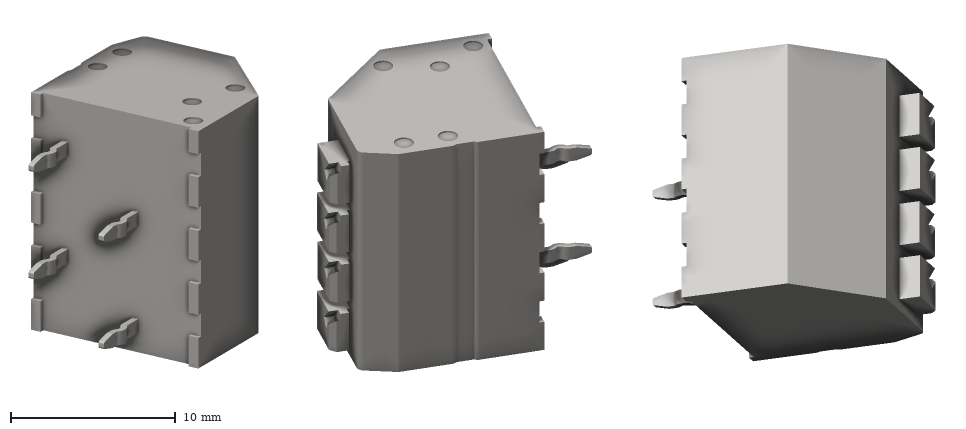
import cadquery as cq
import math

MODULE_COUNT = 4
PITCH = 3.5
COVER_HEIGHT = 1.5

WIDTH = 12.0
BACK_Y = 11.52
SLOPE_DROP = 2.31
SLOPE_RUN = 0.89
SLOPE_RADIUS = 0.5
WIRE_CHAMFER = 4.62

FOOT_WIDTH = 0.7
FOOT_LENGTH = 0.31
FOOT_HEIGHT = PITCH - COVER_HEIGHT

GROOVE_Y = 4.97
GROOVE_MOUTH = 1.52
GROOVE_FLOOR = 1.09
GROOVE_DEPTH = 0.124
GROOVE_RADIUS = 0.36

DIMPLE_DIAMETER = 1.2
DIMPLE_DEPTH = 0.1
DIMPLE_CENTRES = [(1.19, 8.53), (1.19, 5.75), (10.11, 7.23), (9.09, 3.95), (10.8, 1.34)]

BUTTON_LEFT = 2.16
BUTTON_RIGHT = 5.15
BUTTON_TOP_Y = 12.87
BUTTON_LOWERING = 0.03
BUTTON_BOTTOM = 0.71
BUTTON_HEIGHT = 2.67
BUTTON_CHAMFER = 0.38
LIP_LENGTH = 0.48
LIP_BOTTOM_Y = 11.72
POCKET_WIDTH = 0.61
POCKET_DEPTH = 0.46
POCKET_FALL = 0.99

PIN_LEFT_X = 2.3
PIN_SPACING = 5.03
PIN_THICKNESS = 0.4
PIN_WIDTH = 0.9
PIN_TIP_Y = -3.63
TAPER_START_Y = -2.65
PIN_TIP_WIDTH = 0.43
PIN_TIP_RADIUS = 0.15
KINK_Y = -1.62
KINK_OFFSET = 0.25
KINK_OUTER_RADIUS = 0.45
KINK_CREST_RADIUS = 0.53


def housing_block(height, foot_height):
    """Terminal housing profile with feet along the lowest part of its front face."""
    outline = [
        (0, FOOT_LENGTH),
        (WIDTH, FOOT_LENGTH),
        (WIDTH, BACK_Y - WIRE_CHAMFER),
        (WIDTH - WIRE_CHAMFER, BACK_Y),
        (SLOPE_RUN, BACK_Y),
        (0, BACK_Y - SLOPE_DROP),
    ]
    block = cq.Workplane("XY").polyline(outline).close().extrude(height)
    slope_corner = cq.selectors.NearestToPointSelector((SLOPE_RUN, BACK_Y, height / 2))
    block = block.edges("|Z").edges(slope_corner).fillet(SLOPE_RADIUS)

    for foot_x in (0, WIDTH - FOOT_WIDTH):
        foot = cq.Workplane("XY").box(FOOT_WIDTH, 2 * FOOT_LENGTH, foot_height, centered=False)
        block = block.union(foot.translate((foot_x, 0, 0)))
    return cut_wall_groove(block, height)


def cut_wall_groove(block, height):
    """Cut the shallow groove in the left wall and round its mouth."""
    groove = (
        cq.Workplane("XY")
        .polyline([
            (0, GROOVE_Y - GROOVE_MOUTH / 2),
            (GROOVE_DEPTH, GROOVE_Y - GROOVE_FLOOR / 2),
            (GROOVE_DEPTH, GROOVE_Y + GROOVE_FLOOR / 2),
            (0, GROOVE_Y + GROOVE_MOUTH / 2),
        ])
        .close()
        .extrude(height)
    )
    block = block.cut(groove)
    for side in (-1, 1):
        mouth_point = (0, GROOVE_Y + side * GROOVE_MOUTH / 2, height / 2)
        mouth_edge = cq.selectors.NearestToPointSelector(mouth_point)
        block = block.edges("|Z").edges(mouth_edge).fillet(GROOVE_RADIUS)
    return block


def push_button():
    """Push button at full height: lip over the back wall, chamfer and corner pocket."""
    neck_x = BUTTON_LEFT + LIP_LENGTH
    outline = [
        (neck_x, BACK_Y),
        (BUTTON_RIGHT, BACK_Y),
        (BUTTON_RIGHT, BUTTON_TOP_Y),
        (BUTTON_LEFT + BUTTON_CHAMFER, BUTTON_TOP_Y),
        (BUTTON_LEFT, BUTTON_TOP_Y - BUTTON_CHAMFER),
        (BUTTON_LEFT, LIP_BOTTOM_Y),
        (neck_x, LIP_BOTTOM_Y),
    ]
    body = (
        cq.Workplane("XY", origin=(0, 0, BUTTON_BOTTOM))
        .polyline(outline)
        .close()
        .extrude(BUTTON_HEIGHT)
    )
    return body.cut(corner_pocket())


def corner_pocket():
    """Screwdriver slot entering at the top corner of the lip and sloping down at 45 degrees."""
    button_top = BUTTON_BOTTOM + BUTTON_HEIGHT
    lip_end_x = BUTTON_LEFT + LIP_LENGTH
    return (
        cq.Workplane("XZ", origin=(0, BUTTON_TOP_Y, 0))
        .polyline([
            (BUTTON_LEFT, button_top),
            (BUTTON_LEFT, button_top - POCKET_DEPTH),
            (BUTTON_LEFT + POCKET_FALL, button_top - POCKET_DEPTH - POCKET_FALL),
            (lip_end_x + POCKET_FALL, button_top - POCKET_FALL),
            (lip_end_x, button_top),
        ])
        .close()
        .extrude(POCKET_WIDTH)
    )


def terminal_module(has_left_pin):
    """Housing of one pole together with its push button."""
    lowering = BUTTON_LOWERING if has_left_pin else 0
    button = push_button().translate((0, -lowering, 0))
    return housing_block(PITCH, FOOT_HEIGHT).union(button)


def end_cover():
    """Closing plate with full-height feet and five dimples in its top."""
    dimples = (
        cq.Workplane("XY", origin=(0, 0, COVER_HEIGHT - DIMPLE_DEPTH))
        .pushPoints(DIMPLE_CENTRES)
        .circle(DIMPLE_DIAMETER / 2)
        .extrude(DIMPLE_DEPTH)
    )
    return housing_block(COVER_HEIGHT, COVER_HEIGHT).cut(dimples)


def solder_pin():
    """Flat pin from the housing front to its tip, centred on X = 0 and Z = 0."""
    bend = math.acos(1 - KINK_OFFSET / (KINK_OUTER_RADIUS + KINK_CREST_RADIUS))
    crest_half = KINK_CREST_RADIUS * math.sin(bend)
    kink_half = crest_half + KINK_OUTER_RADIUS * math.sin(bend)
    flank_x = KINK_OUTER_RADIUS * (1 - math.cos(bend))
    centreline = (
        cq.Workplane("XY")
        .moveTo(0, FOOT_LENGTH)
        .lineTo(0, KINK_Y + kink_half)
        .tangentArcPoint((flank_x, KINK_Y + crest_half), relative=False)
        .tangentArcPoint((flank_x, KINK_Y - crest_half), relative=False)
        .tangentArcPoint((0, KINK_Y - kink_half), relative=False)
        .lineTo(0, PIN_TIP_Y)
    )
    strip = (
        cq.Workplane("XZ", origin=(0, FOOT_LENGTH, 0))
        .rect(PIN_THICKNESS, PIN_WIDTH)
        .sweep(centreline)
    )
    return strip.intersect(pin_side_shape())


def pin_side_shape():
    """Slab with the tapered, round-cornered side outline of a pin."""
    slab_thickness = 2 * (PIN_THICKNESS + KINK_OFFSET)
    slab = (
        cq.Workplane("YZ")
        .polyline([
            (FOOT_LENGTH, -PIN_WIDTH / 2),
            (FOOT_LENGTH, PIN_WIDTH / 2),
            (TAPER_START_Y, PIN_WIDTH / 2),
            (PIN_TIP_Y, PIN_TIP_WIDTH / 2),
            (PIN_TIP_Y, -PIN_TIP_WIDTH / 2),
            (TAPER_START_Y, -PIN_WIDTH / 2),
        ])
        .close()
        .extrude(slab_thickness / 2, both=True)
    )
    return slab.faces("<Y").edges("|X").fillet(PIN_TIP_RADIUS)


modules = []
pins = []
for index in range(MODULE_COUNT):
    has_left_pin = index % 2 == 1
    base_z = index * PITCH
    pin_x = PIN_LEFT_X if has_left_pin else PIN_LEFT_X + PIN_SPACING
    modules.append(terminal_module(has_left_pin).translate((0, 0, base_z)).val())
    pins.append(solder_pin().translate((pin_x, 0, base_z + PITCH / 2)).val())

cover = end_cover().translate((0, 0, MODULE_COUNT * PITCH))

result = cq.Compound.makeCompound([*modules, cover.val(), *pins])